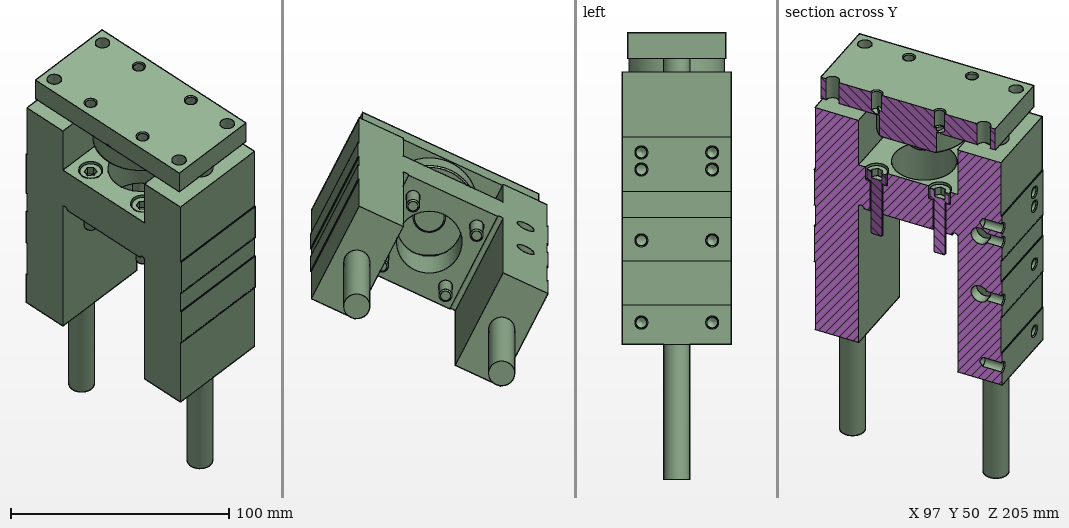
import cadquery as cq
import math


LEG_HEIGHT = 125.0
LEG_DEPTH = 50.0
LEG_OUTER_X = 48.0
LEG_INNER_X = 25.5
PAD_THICKNESS = 0.5
BEAM_TOP_Z = 100.0
BEAM_HEIGHT = 24.0
BEAM_BOTTOM_Z = BEAM_TOP_Z - BEAM_HEIGHT
BEAM_DEPTH = 50.0
BEAM_BORE_DIAMETER = 30.0
RELIEF_RADIUS = 1.5
RELIEF_INSET = 1.3

LEFT_PADS = [(0.0, 18.0), (38.2, 58.2), (70.0, 95.0)]
RIGHT_PADS = [(38.2, 58.2), (70.0, 90.0)]

HOLE_PITCH = 32.5
HALF_PITCH = HOLE_PITCH / 2

TAP_CORE_DIAMETER = 4.92
THREAD_DIAMETER = 6.0
TAP_DEPTH = 10.0
DRILL_POINT_ANGLE = 118.0

SIDE_HOLE_UPPER_Z = 88.0
UPPER_PORT_Z = 80.2
LOWER_PORT_Z = UPPER_PORT_Z - HOLE_PITCH
SIDE_HOLE_LOWER_Z = 10.0
PORT_DIAMETER = 8.65
PORT_DEPTH = 14.0

PLATE_WIDTH = 90.0
PLATE_DEPTH = 45.0
PLATE_THICKNESS = 12.0
PLATE_GAP = 6.0
PLATE_BOTTOM_Z = LEG_HEIGHT + PLATE_GAP
PLATE_TOP_Z = PLATE_BOTTOM_Z + PLATE_THICKNESS
CORNER_HOLE_DIAMETER = 6.6
CORNER_HOLE_X = 39.0

ROD_DIAMETER = 12.0
ROD_X = 37.0
ROD_BOTTOM_Z = -62.0

DISC_DIAMETER = 44.0
DISC_DROP = 11.5
DISC_SEAT = 3.0
DISC_CHAMFER = 0.7
STUB_DIAMETER = 15.0
STUB_LENGTH = 8.5
STUB_CHAMFER = 0.7

SCREW_LENGTH = 29.5
HEAD_DIAMETER = 10.0
HEAD_HEIGHT = 6.0
HEX_ACROSS_FLATS = 5.0
HEX_DEPTH = 4.0
HEX_TURN = 15.0
TIP_CHAMFER = 0.7
COUNTERBORE_DIAMETER = 11.0
COUNTERBORE_DEPTH = 7.0
CLEARANCE_DIAMETER = 6.6
HEAD_SEAT_Z = BEAM_TOP_Z - COUNTERBORE_DEPTH

SQUARE_PATTERN = [(x, y) for x in (-HALF_PITCH, HALF_PITCH) for y in (-HALF_PITCH, HALF_PITCH)]


def block(x_min, x_max, depth, z_min, z_max):
    """Box between two X and two Z limits, centred on Y = 0."""
    return (
        cq.Workplane("XY")
        .box(x_max - x_min, depth, z_max - z_min, centered=(False, True, False))
        .translate((x_min, 0, z_min))
    )


def cylinder(x, y, z_min, z_max, diameter):
    """Vertical cylinder between two heights."""
    return cq.Workplane("XY", origin=(x, y, z_min)).circle(diameter / 2).extrude(z_max - z_min)


def tapped_hole():
    """Cutter for a tapped hole that opens at the origin and runs down -Z."""
    core = TAP_CORE_DIAMETER / 2
    mouth = THREAD_DIAMETER / 2
    point = core / math.tan(math.radians(DRILL_POINT_ANGLE / 2))
    return (
        cq.Workplane("XZ")
        .moveTo(0, 0)
        .lineTo(mouth, 0)
        .lineTo(core, core - mouth)
        .lineTo(core, -TAP_DEPTH)
        .lineTo(0, -TAP_DEPTH - point)
        .close()
        .revolve(360, (0, 0, 0), (0, 1, 0))
    )


def make_housing():
    housing = block(-LEG_INNER_X, LEG_INNER_X, BEAM_DEPTH, BEAM_BOTTOM_Z, BEAM_TOP_Z)
    housing = housing.union(block(-LEG_OUTER_X, -LEG_INNER_X, LEG_DEPTH, 0, LEG_HEIGHT))
    housing = housing.union(block(LEG_INNER_X, LEG_OUTER_X, LEG_DEPTH, 0, LEG_HEIGHT))

    pad_x = LEG_OUTER_X + PAD_THICKNESS
    for z_min, z_max in LEFT_PADS:
        housing = housing.union(block(-pad_x, -LEG_OUTER_X, LEG_DEPTH, z_min, z_max))
    for z_min, z_max in RIGHT_PADS:
        housing = housing.union(block(LEG_OUTER_X, pad_x, LEG_DEPTH, z_min, z_max))

    relief_x = LEG_INNER_X - RELIEF_INSET
    reliefs = (
        cq.Workplane("XZ")
        .pushPoints([(-relief_x, BEAM_BOTTOM_Z), (relief_x, BEAM_BOTTOM_Z)])
        .circle(RELIEF_RADIUS)
        .extrude(LEG_DEPTH / 2, both=True)
        .intersect(block(-LEG_INNER_X, LEG_INNER_X, LEG_DEPTH, 0, LEG_HEIGHT))
    )
    housing = housing.cut(reliefs)

    for x in (-ROD_X, ROD_X):
        housing = housing.cut(cylinder(x, 0, 0, LEG_HEIGHT, ROD_DIAMETER))
    housing = housing.cut(cylinder(0, 0, BEAM_BOTTOM_Z, BEAM_TOP_Z, BEAM_BORE_DIAMETER))

    for x, y in SQUARE_PATTERN:
        housing = housing.cut(cylinder(x, y, BEAM_BOTTOM_Z, BEAM_TOP_Z, CLEARANCE_DIAMETER))
        housing = housing.cut(cylinder(x, y, HEAD_SEAT_Z, BEAM_TOP_Z, COUNTERBORE_DIAMETER))

    side_cutter = tapped_hole().rotate((0, 0, 0), (0, 1, 0), -90)
    for z in (SIDE_HOLE_LOWER_Z, LOWER_PORT_Z, UPPER_PORT_Z, SIDE_HOLE_UPPER_Z):
        for y in (-HALF_PITCH, HALF_PITCH):
            housing = housing.cut(side_cutter.translate((-pad_x, y, z)))

    for z in (LOWER_PORT_Z, UPPER_PORT_Z):
        port = cq.Workplane("XZ", origin=(-ROD_X, LEG_DEPTH / 2, z)).circle(PORT_DIAMETER / 2)
        housing = housing.cut(port.extrude(PORT_DEPTH))
    return housing


def make_carriage():
    half_width = PLATE_WIDTH / 2
    carriage = block(-half_width, half_width, PLATE_DEPTH, PLATE_BOTTOM_Z, PLATE_TOP_Z)

    for x in (-CORNER_HOLE_X, CORNER_HOLE_X):
        for y in (-HALF_PITCH, HALF_PITCH):
            carriage = carriage.cut(cylinder(x, y, PLATE_BOTTOM_Z, PLATE_TOP_Z, CORNER_HOLE_DIAMETER))
    for x, y in SQUARE_PATTERN:
        carriage = carriage.cut(tapped_hole().translate((x, y, PLATE_TOP_Z)))

    disc_bottom_z = PLATE_BOTTOM_Z - DISC_DROP
    disc = cylinder(0, 0, disc_bottom_z, PLATE_BOTTOM_Z + DISC_SEAT, DISC_DIAMETER)
    carriage = carriage.union(disc.faces("<Z").chamfer(DISC_CHAMFER))
    stub = cylinder(0, 0, disc_bottom_z - STUB_LENGTH, disc_bottom_z, STUB_DIAMETER)
    carriage = carriage.union(stub.faces("<Z").chamfer(STUB_CHAMFER))

    for x in (-ROD_X, ROD_X):
        carriage = carriage.union(cylinder(x, 0, ROD_BOTTOM_Z, PLATE_BOTTOM_Z, ROD_DIAMETER))
    return carriage


def make_screw(x, y):
    head_top_z = HEAD_SEAT_Z + HEAD_HEIGHT
    shank = cylinder(x, y, HEAD_SEAT_Z - SCREW_LENGTH, HEAD_SEAT_Z, THREAD_DIAMETER)
    shank = shank.faces("<Z").chamfer(TIP_CHAMFER)
    head = cylinder(x, y, HEAD_SEAT_Z, head_top_z, HEAD_DIAMETER)
    screw = shank.union(head)
    socket = (
        cq.Workplane("XY", origin=(x, y, head_top_z - HEX_DEPTH))
        .transformed(rotate=(0, 0, HEX_TURN))
        .polygon(6, HEX_ACROSS_FLATS, circumscribed=True)
        .extrude(HEX_DEPTH)
    )
    return screw.cut(socket)


housing = make_housing()
carriage = make_carriage()
screws = [make_screw(x, y).val() for x, y in SQUARE_PATTERN]

result = cq.Compound.makeCompound([housing.val(), carriage.val(), *screws])